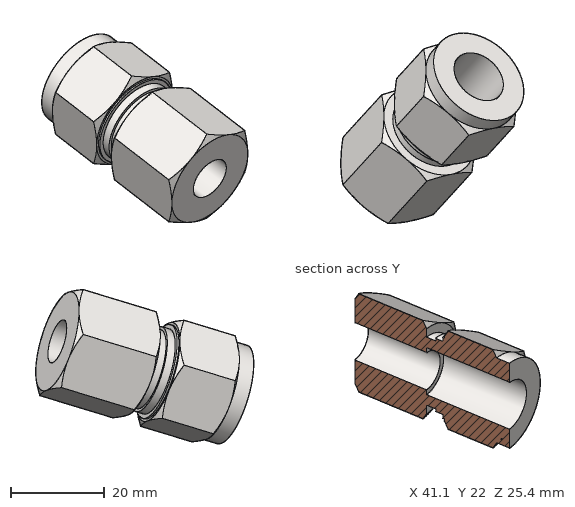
import cadquery as cq
import math

total_length = 41.1
across_flats = 22.0
across_corners = across_flats / math.cos(math.radians(30))
chamfer_angle = 30.0

nut_hex_start = 3.4
nut_hex_end = 17.4
nut_lip_end = 17.8
shoulder_end = 19.65
body_hex_start = 22.0

collar_diameter = across_flats
nut_lip_diameter = 20.9
shoulder_diameter = 19.0
neck_diameter = 17.67
tube_socket_diameter = 12.0
through_bore_diameter = 9.55
tube_socket_depth = body_hex_start


def cylinder(start, end, diameter):
    """Round section between two positions on the X axis."""
    return cq.Workplane("YZ", origin=(start, 0, 0)).circle(diameter / 2).extrude(end - start)


def chamfered_hexagon(start, end):
    """Hexagonal section, corners at +Z and -Z, with conical chamfers at both ends."""
    prism = (
        cq.Workplane("YZ", origin=(start, 0, 0))
        .transformed(rotate=(0, 0, 90))
        .polygon(6, across_corners)
        .extrude(end - start)
    )
    face_radius = across_flats / 2
    corner_radius = across_corners / 2
    chamfer_length = (corner_radius - face_radius) * math.tan(math.radians(chamfer_angle))
    envelope = (
        cq.Workplane("XY")
        .moveTo(start, 0)
        .lineTo(start, face_radius)
        .lineTo(start + chamfer_length, corner_radius)
        .lineTo(end - chamfer_length, corner_radius)
        .lineTo(end, face_radius)
        .lineTo(end, 0)
        .close()
        .revolve(360, (0, 0, 0), (1, 0, 0))
    )
    return prism.intersect(envelope)


collar = cylinder(0, nut_hex_start, collar_diameter)
nut_hexagon = chamfered_hexagon(nut_hex_start, nut_hex_end)
nut_lip = cylinder(nut_hex_end, nut_lip_end, nut_lip_diameter)

shoulder = cylinder(nut_lip_end, shoulder_end, shoulder_diameter)
neck = cylinder(shoulder_end, body_hex_start, neck_diameter)
body_hexagon = chamfered_hexagon(body_hex_start, total_length)

tube_socket = cylinder(0, tube_socket_depth, tube_socket_diameter)
through_bore = cylinder(0, total_length, through_bore_diameter)

result = collar
for section in (nut_hexagon, nut_lip, shoulder, neck, body_hexagon):
    result = result.union(section)
result = result.cut(tube_socket).cut(through_bore)